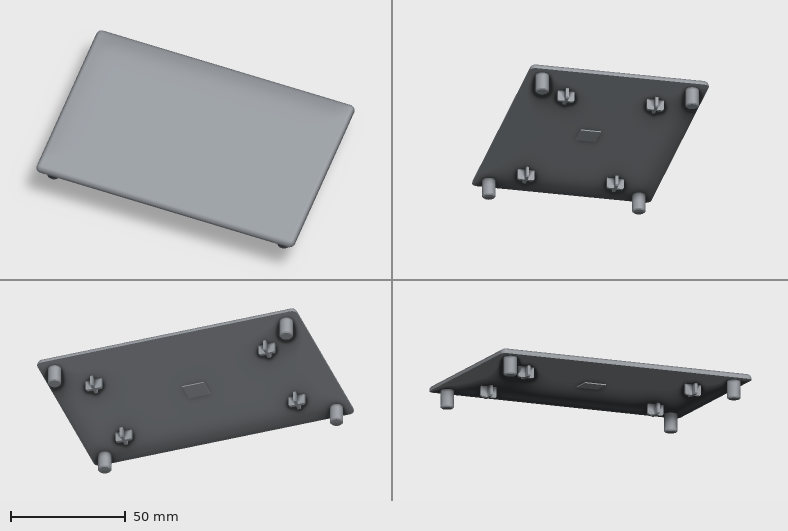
import cadquery as cq
length = 120.0
width = 80.0
total_height = 10.5
plate_thickness = 2.5
corner_radius = 2.5
edge_radius = 2.0

peg_diameter = 5.9
peg_inset = 6.5
peg_tip_chamfer = 0.5

cross_span = 7.5
cross_web = 1.3
cross_height = 4.8
cross_inset = 20.0
cross_tip_chamfer = 0.6

pad_length = 10.0
pad_width = 8.9
pad_thickness = 0.5
pad_offset_y = 1.0


def mirrored_points(inset):
    """Four points, inset by the same distance from the two plate sides at each corner."""
    return cq.Workplane("XY").rect(length - 2 * inset, width - 2 * inset, forConstruction=True).vertices()


def make_plate():
    """Plate with its underside at Z = 0, round corners and round upper edges."""
    block = cq.Workplane("XY").box(length, width, plate_thickness, centered=(True, True, False))
    return block.edges("|Z").fillet(corner_radius).faces(">Z").edges().fillet(edge_radius)


def make_peg():
    """Round peg hanging from Z = 0."""
    peg_height = total_height - plate_thickness
    peg = cq.Workplane("XY").circle(peg_diameter / 2).extrude(-peg_height)
    return peg.faces("<Z").chamfer(peg_tip_chamfer)


def make_cross_web():
    """Upright web along X with chamfered lower ends."""
    web = cq.Workplane("XY").box(cross_span, cross_web, cross_height, centered=(True, True, False))
    web = web.translate((0, 0, -cross_height))
    return web.edges("|Y and <Z").chamfer(cross_tip_chamfer)


def make_cross():
    """Two webs crossing at right angles."""
    web = make_cross_web()
    return web.union(web.rotate((0, 0, 0), (0, 0, 1), 90))


def make_pad():
    """Thin pad on the underside of the plate."""
    return cq.Workplane("XY").center(0, pad_offset_y).rect(pad_length, pad_width).extrude(-pad_thickness)


peg = make_peg().val()
cross = make_cross().val()
pegs = mirrored_points(peg_inset).eachpoint(lambda place: peg.moved(place))
crosses = mirrored_points(cross_inset).eachpoint(lambda place: cross.moved(place))

result = make_plate().union(pegs).union(crosses).union(make_pad())